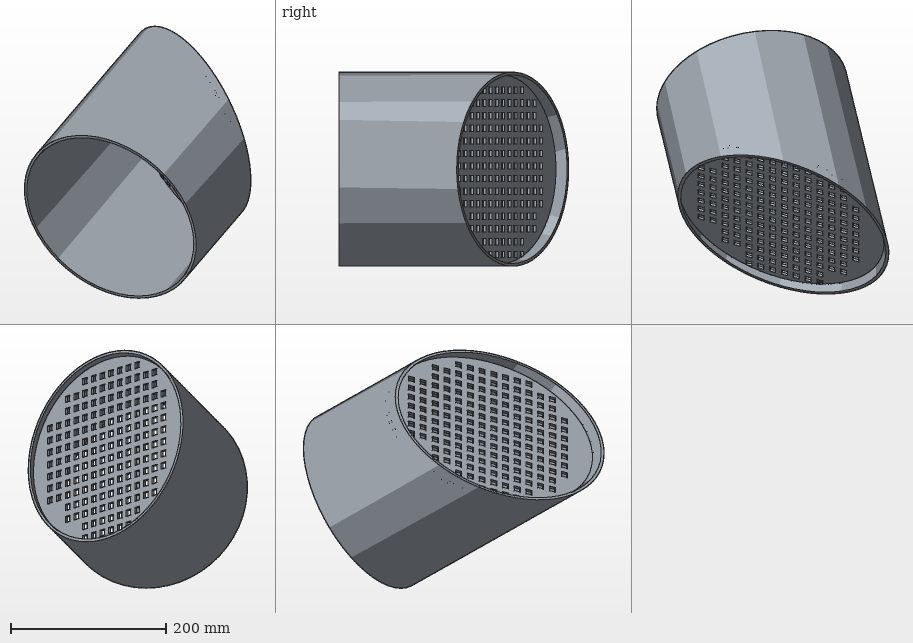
import cadquery as cq
import math

tube_diameter = 250.0
bore_diameter = 243.0
tube_length = 296.3
slant = math.radians(30)

wall = (tube_diameter - bore_diameter) / 2
plate_diameter = bore_diameter + wall
plate_thickness = wall
plate_depth = 12.5

grid_count = 11
grid_span = 161.8
hole_pitch = grid_span / (grid_count - 1)
hole_size = hole_pitch / 2
block_depth = 2
block_width = 7
block_shift = 0.5
grid_center_x = -hole_size / 2
grid_center_z = hole_size / 2

front_y = -tube_length / 2
slant_center_y = front_y + tube_length - tube_diameter / 2 * math.tan(slant)
plate_center_y = slant_center_y - plate_depth / math.cos(slant)


def slanted_workplane(axis_y):
    """Plane crossing the tube axis at axis_y: local y is up, the normal points into the tube."""
    plane = cq.Plane(
        origin=(0, axis_y, 0),
        xDir=(math.cos(slant), -math.sin(slant), 0),
        normal=(-math.sin(slant), -math.cos(slant), 0),
    )
    return cq.Workplane(plane)


def full_length_cylinder(diameter):
    return cq.Workplane("XZ", origin=(0, front_y, 0)).circle(diameter / 2).extrude(-tube_length)


def slanted_slab(axis_y, thickness):
    """Slab wide enough to cross the whole tube; a negative thickness goes toward the rear."""
    slab_width = 2 * tube_length
    return slanted_workplane(axis_y).rect(slab_width, slab_width).extrude(thickness)


def make_plate_blank():
    slab = slanted_slab(plate_center_y, plate_thickness)
    return full_length_cylinder(plate_diameter).intersect(slab)


def make_tube():
    tube = full_length_cylinder(tube_diameter).cut(full_length_cylinder(bore_diameter))
    tube = tube.cut(slanted_slab(slant_center_y, -tube_length))
    return tube.cut(make_plate_blank())


def hole_block(columns, rows, x, z):
    """Block of square holes centered at (x, z) from the center of the main grid."""
    return (
        slanted_workplane(plate_center_y)
        .center(grid_center_x + x, grid_center_z + z)
        .rarray(hole_pitch, hole_pitch, columns, rows)
        .rect(hole_size, hole_size)
        .extrude(plate_thickness)
    )


def make_plate():
    edge = grid_span / 2
    overlapping = edge + hole_pitch / 2 + block_shift
    beyond = edge + 1.5 * hole_pitch + block_shift
    blocks = [
        (grid_count, grid_count, 0, 0),
        (block_depth, block_width, -overlapping, 0),
        (block_depth, block_width, beyond, 0),
        (block_width, block_depth, 0, overlapping),
        (block_width, block_depth, 0, -beyond),
    ]
    plate = make_plate_blank()
    for columns, rows, x, z in blocks:
        plate = plate.cut(hole_block(columns, rows, x, z))
    return plate


tube = make_tube()
grille_plate = make_plate()

result = cq.Compound.makeCompound([tube.val(), grille_plate.val()])